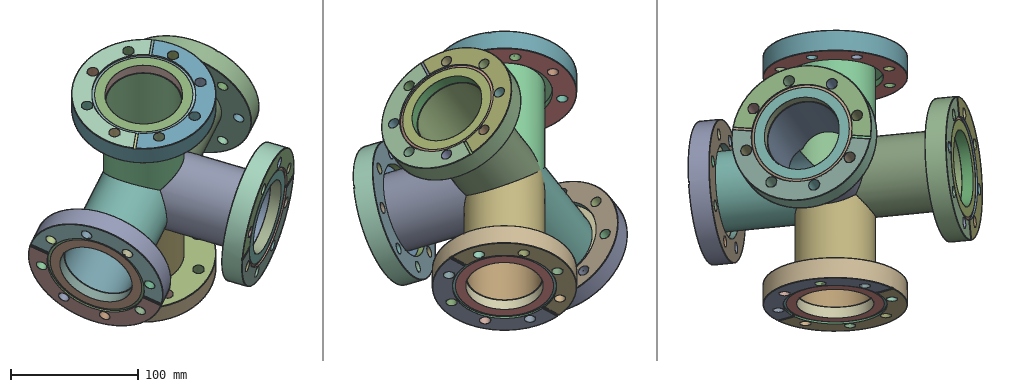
import cadquery as cq


half_span = 104.8

tube_diameter = 63.5
tube_radius = tube_diameter / 2
tube_bore_radius = 29.8

flange_radius = 56.8
flange_thickness = 17.5
flange_bore_radius = 30.4
rim_chamfer = 0.5
weld_depth = 9.9

recess_radius = 40.9
recess_depth = 1.7
knife_radius = 38.5
knife_depth = 0.8

lip_bore_radius = 37.7
lip_thickness = 5.2

bolt_count = 8
bolt_hole_radius = 4.5
bolt_circle_radius = 46.1
bolt_pitch_angle = 360 / bolt_count
groove_count = 2
groove_width = 2.0
groove_depth = 0.8

rotatable_mounts = [
    ((0, -1, 0), (1, 0, 0), 144.5),
    ((0, 0, 1), (1, 0, 0), 261.3),
    ((1, 0, 0), (0, 1, 0), 147.8),
]
fixed_mounts = [
    ((0, 1, 0), (-1, 0, 0), 90.0),
    ((0, 0, -1), (1, 0, 0), 90.0),
]


def cylinder(radius, bottom, top):
    """Cylinder on the local Z axis between two heights."""
    return cq.Workplane("XY").workplane(offset=bottom).circle(radius).extrude(top - bottom)


def mount(body, outward, reference, first_hole_angle):
    """Turn a flange body (face at local Z = 0, outward +Z) and place it at the end of its arm."""
    origin = tuple(half_span * part for part in outward)
    turned = body.rotate((0, 0, 0), (0, 0, 1), first_hole_angle)
    return turned.solids().val().moved(cq.Location(cq.Plane(origin, reference, outward)))


def make_tube():
    """Five mitred tube arms with their bores joined at the centre."""
    arm_length = half_span - weld_depth
    outside = cq.Workplane("XY")
    bores = cq.Workplane("XY")
    for outward, reference, _ in rotatable_mounts + fixed_mounts:
        arm = cq.Workplane(cq.Plane((0, 0, 0), reference, outward))
        outside = outside.union(arm.circle(tube_radius).extrude(arm_length))
        bores = bores.union(arm.circle(tube_bore_radius).extrude(arm_length))
    return outside.cut(bores)


def make_drilled_disc():
    """Flange blank with chamfered rims, bolt holes and leak-check grooves."""
    disc = cylinder(flange_radius, -flange_thickness, 0).edges().chamfer(rim_chamfer)
    holes = (
        cq.Workplane("XY")
        .polarArray(bolt_circle_radius, 0, 360, bolt_count)
        .circle(bolt_hole_radius)
        .extrude(-flange_thickness)
    )
    groove_start = knife_radius
    groove_length = flange_radius - groove_start
    groove = cq.Workplane("XY").box(
        groove_length, groove_width, groove_depth, centered=(False, True, False)
    ).translate((groove_start, 0, -groove_depth))
    disc = disc.cut(holes)
    for index in range(groove_count):
        angle = bolt_pitch_angle / 2 + index * 360 / groove_count
        disc = disc.cut(groove.rotate((0, 0, 0), (0, 0, 1), angle))
    return disc


def make_sealing_core(back):
    """Annular core down to the given back height, with a tube socket and a sloped knife edge."""
    profile = [
        (flange_bore_radius, -weld_depth),
        (tube_radius, -weld_depth),
        (tube_radius, back),
        (recess_radius, back),
        (recess_radius, -recess_depth),
        (knife_radius, -knife_depth),
        (flange_bore_radius, -knife_depth),
    ]
    return cq.Workplane("XZ").polyline(profile).close().revolve(360, (0, 0, 0), (0, 1, 0))


def make_insert():
    """Insert of a rotatable flange, resting on the lip of its ring."""
    return make_sealing_core(lip_thickness - flange_thickness)


def make_rotatable_ring():
    """Loose bolt ring: a pocket for the insert and a lip that clears the tube."""
    pocket = cylinder(recess_radius, lip_thickness - flange_thickness, 0)
    lip_bore = cylinder(lip_bore_radius, -flange_thickness, 0)
    return make_drilled_disc().cut(pocket).cut(lip_bore)


def make_fixed_flange():
    """One-piece flange: a bolted disc with the sealing core in its middle."""
    middle = cylinder(recess_radius, -flange_thickness, 0)
    return make_drilled_disc().cut(middle).union(make_sealing_core(-flange_thickness))


tube = make_tube()
insert = make_insert()
ring = make_rotatable_ring()
fixed_flange = make_fixed_flange()

inserts = [mount(insert, *place) for place in rotatable_mounts]
rings = [mount(ring, *place) for place in rotatable_mounts]
fixed_flanges = [mount(fixed_flange, *place) for place in fixed_mounts]

result = cq.Compound.makeCompound([tube.solids().val(), *inserts, *rings, *fixed_flanges])